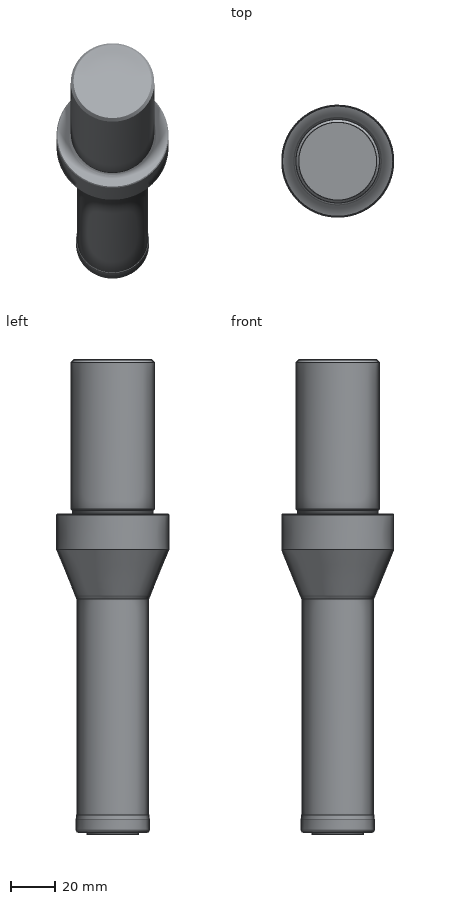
import cadquery as cq

TOTAL_LENGTH = 214.9

SHANK_RADIUS = 19.0
SHANK_BOTTOM = 146.8
SHANK_TOP_CHAMFER = 1.3
SHANK_BOTTOM_CHAMFER = 0.6
UNDERCUT_RADIUS = SHANK_RADIUS - SHANK_BOTTOM_CHAMFER

COLLAR_RADIUS = 25.4
COLLAR_TOP = 145.0
COLLAR_BOTTOM = 129.0
COLLAR_CHAMFER = 0.5
RELIEF_RADIUS = 19.8
RELIEF_DEPTH = 0.5
CONE_END_RADIUS = 16.8
CONE_END = 107.9
CONE_BLEND_LENGTH = 1.3

NECK_RADIUS = 16.1

TIP_RADIUS = 16.5
TIP_TOP = 8.8
TAPER_BOTTOM = 6.9
TAPER_TOP_RADIUS = 16.3
TIP_RIM_FILLET = 1.0
FACE_RADIUS = 11.5
FACE_HEIGHT = 1.0


def make_holder():
    """Shank, undercut, collar, cone and neck as one turned profile."""
    profile = (
        cq.Workplane("XZ")
        .moveTo(0, TIP_TOP)
        .lineTo(NECK_RADIUS, TIP_TOP)
        .lineTo(NECK_RADIUS, CONE_END - CONE_BLEND_LENGTH)
        .lineTo(CONE_END_RADIUS, CONE_END)
        .lineTo(COLLAR_RADIUS, COLLAR_BOTTOM)
        .lineTo(COLLAR_RADIUS, COLLAR_TOP - COLLAR_CHAMFER)
        .lineTo(COLLAR_RADIUS - COLLAR_CHAMFER, COLLAR_TOP)
        .lineTo(RELIEF_RADIUS, COLLAR_TOP)
        .lineTo(UNDERCUT_RADIUS, COLLAR_TOP - RELIEF_DEPTH)
        .lineTo(UNDERCUT_RADIUS, SHANK_BOTTOM)
        .lineTo(SHANK_RADIUS, SHANK_BOTTOM + SHANK_BOTTOM_CHAMFER)
        .lineTo(SHANK_RADIUS, TOTAL_LENGTH - SHANK_TOP_CHAMFER)
        .lineTo(SHANK_RADIUS - SHANK_TOP_CHAMFER, TOTAL_LENGTH)
        .lineTo(0, TOTAL_LENGTH)
        .close()
    )
    return profile.revolve(360, (0, 0, 0), (0, 1, 0))


def make_tip():
    """Disc on the lower end of the neck."""
    disc = (
        cq.Workplane("XZ")
        .moveTo(0, FACE_HEIGHT)
        .lineTo(TIP_RADIUS, FACE_HEIGHT)
        .lineTo(TIP_RADIUS, TAPER_BOTTOM)
        .lineTo(TAPER_TOP_RADIUS, TIP_TOP)
        .lineTo(0, TIP_TOP)
        .close()
        .revolve(360, (0, 0, 0), (0, 1, 0))
        .faces("<Z")
        .edges()
        .fillet(TIP_RIM_FILLET)
    )
    raised_face = cq.Workplane("XY").circle(FACE_RADIUS).extrude(FACE_HEIGHT)
    return disc.union(raised_face)


holder = make_holder()
tip = make_tip()

result = cq.Compound.makeCompound([holder.val(), tip.val()])